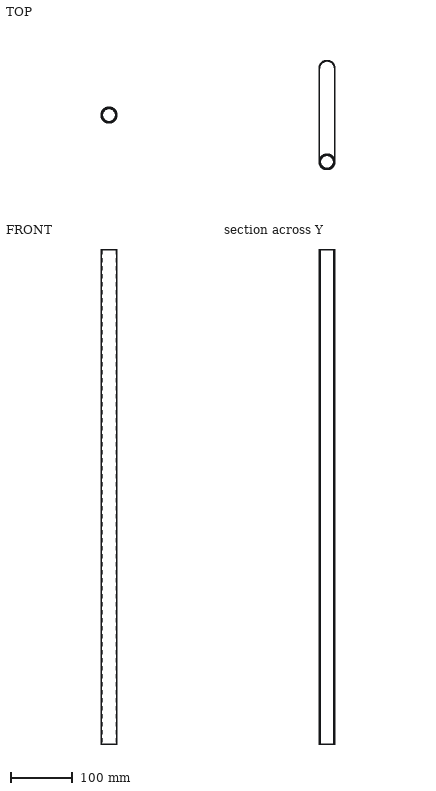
import cadquery as cq

LENGTH = 800.0
OUTER_DIAMETER = 25.17
WALL_THICKNESS = 1.75

inner_diameter = OUTER_DIAMETER - 2 * WALL_THICKNESS


def make_tube():
    """Plain round tube along Z, resting on the XY plane."""
    return (
        cq.Workplane("XY")
        .circle(OUTER_DIAMETER / 2)
        .circle(inner_diameter / 2)
        .extrude(LENGTH)
    )


result = make_tube()